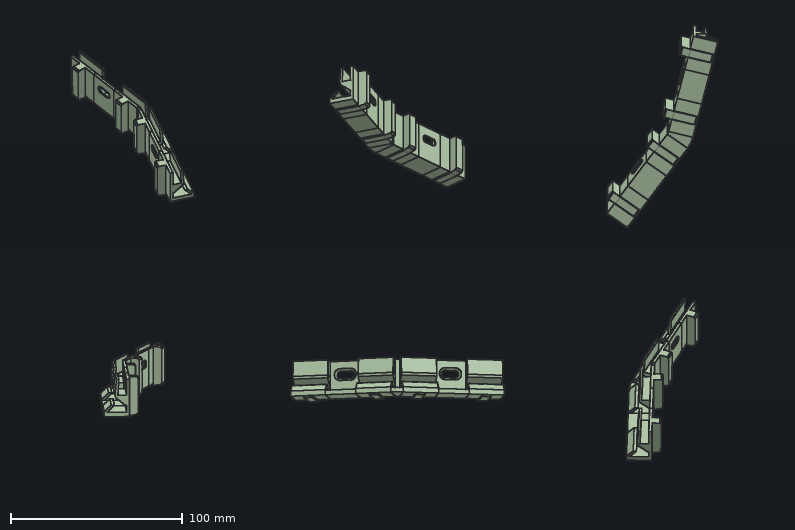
import cadquery as cq

BEND_ANGLE = 22.0
CLIP_LENGTH = 20.9
PLATE_LENGTH = 18.2
ARM_LENGTH = 2 * CLIP_LENGTH + PLATE_LENGTH

FRONT = 4.7
DEPTH = 14.9
BACK = FRONT + DEPTH
WALL_THICKNESS = 1.8
WALL_INSIDE = FRONT + WALL_THICKNESS

HEIGHT = 22.2
FLOOR_THICKNESS = 2.7

SLOT_LENGTH = 10.1
SLOT_HEIGHT = 4.2
SLOT_Z = 14.2
COUNTERSINK_DEPTH = 1.5
COUNTERSINK_SLOPE = 45.0

LIP_EDGE_HEIGHT = 3.1
LIP_HEIGHT = 7.0
LIP_LEAN = 4.0
LIP_TOP_WIDTH = 1.8
LIP_FOOT_WIDTH = 1.8

SHELF_TOP = 12.9
SHELF_ROOT_Z = 6.2
SHELF_END_Z = 11.3
SHELF_REACH = 8.2
HOOK_FOOT_INSIDE = 6.9
HOOK_FOOT_OUTSIDE = 8.6
HOOK_TOP_INSIDE = 6.4
HOOK_TOP_OUTSIDE = 7.8

RIB_WIDTH = 5.2
RIB_REACH = 5.3
RIB_CHAMFER = 0.9
RIB_FRONT = FRONT - RIB_REACH
KEEL_DROP = 1.0
KEEL_TIP_DROP = 0.2
KEEL_BACK_INSET = 0.5

ANGLE_OUTLINE = [
    (FRONT, 0),
    (BACK, 0),
    (BACK, FLOOR_THICKNESS),
    (WALL_INSIDE, FLOOR_THICKNESS),
    (WALL_INSIDE, HEIGHT),
    (FRONT, HEIGHT),
]

CLIP_OUTLINE = [
    (FRONT, 0),
    (BACK, 0),
    (BACK, LIP_EDGE_HEIGHT),
    (BACK - LIP_LEAN, LIP_HEIGHT),
    (BACK - LIP_LEAN - LIP_TOP_WIDTH, LIP_HEIGHT),
    (BACK - LIP_FOOT_WIDTH, FLOOR_THICKNESS),
    (WALL_INSIDE, FLOOR_THICKNESS),
    (WALL_INSIDE, SHELF_ROOT_Z),
    (FRONT + SHELF_REACH, SHELF_END_Z),
    (FRONT + HOOK_FOOT_OUTSIDE, SHELF_TOP),
    (FRONT + HOOK_TOP_OUTSIDE, HEIGHT),
    (FRONT + HOOK_TOP_INSIDE, HEIGHT),
    (FRONT + HOOK_FOOT_INSIDE, SHELF_TOP),
    (WALL_INSIDE, SHELF_TOP),
    (WALL_INSIDE, HEIGHT),
    (FRONT, HEIGHT),
]

RIB_OUTLINE = [
    (BACK - KEEL_BACK_INSET, FLOOR_THICKNESS),
    (BACK - KEEL_BACK_INSET, RIB_CHAMFER - KEEL_DROP),
    (BACK - KEEL_BACK_INSET - RIB_CHAMFER, -KEEL_DROP),
    (FRONT, -KEEL_DROP),
    (RIB_FRONT + RIB_CHAMFER, -KEEL_TIP_DROP),
    (RIB_FRONT, RIB_CHAMFER),
    (RIB_FRONT, HEIGHT - RIB_CHAMFER),
    (RIB_FRONT + RIB_CHAMFER, HEIGHT),
    (WALL_INSIDE, HEIGHT),
    (WALL_INSIDE, FLOOR_THICKNESS),
]


def bar(outline, center_x, length):
    """Extrude a YZ outline along X, centred on center_x."""
    section = cq.Workplane("YZ", origin=(center_x, 0, 0)).polyline(outline).close()
    return section.extrude(length / 2, both=True)


def make_clip(center_x):
    """Clip with a lip, a hooked shelf and a central rib."""
    return bar(CLIP_OUTLINE, center_x, CLIP_LENGTH).union(bar(RIB_OUTLINE, center_x, RIB_WIDTH))


def make_plate(center_x):
    """Plain angle plate with a slot through its wall, countersunk from the inside."""
    slot = (
        cq.Workplane("XZ", origin=(center_x, WALL_INSIDE, SLOT_Z))
        .slot2D(SLOT_LENGTH, SLOT_HEIGHT)
        .extrude(WALL_THICKNESS)
    )
    countersink = (
        cq.Workplane("XZ", origin=(center_x, WALL_INSIDE, SLOT_Z))
        .slot2D(SLOT_LENGTH + 2 * COUNTERSINK_DEPTH, SLOT_HEIGHT + 2 * COUNTERSINK_DEPTH)
        .extrude(COUNTERSINK_DEPTH, taper=COUNTERSINK_SLOPE)
    )
    return bar(ANGLE_OUTLINE, center_x, PLATE_LENGTH).cut(slot).cut(countersink)


def make_corner():
    """Angle section swept round the bend axis, filling the gap between the arms."""
    section = cq.Workplane("YZ").polyline(ANGLE_OUTLINE).close()
    return section.revolve(BEND_ANGLE, (0, 0, 0), (0, 1, 0))


def make_arm(side, turn):
    """Bodies of one arm: side is +1 for +X or -1 for -X, turned about the bend axis."""
    bodies = [
        make_clip(side * CLIP_LENGTH / 2),
        make_plate(side * ARM_LENGTH / 2),
        make_clip(side * (ARM_LENGTH - CLIP_LENGTH / 2)),
    ]
    return [body.rotate((0, 0, 0), (0, 0, 1), turn).val() for body in bodies]


right_arm = make_arm(1, 0)
left_arm = make_arm(-1, BEND_ANGLE)
corner = make_corner()

result = cq.Compound.makeCompound([*right_arm, *left_arm, corner.val()])